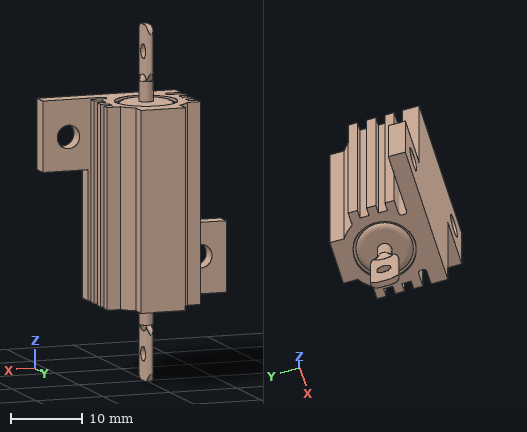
import cadquery as cq
import math

TOTAL_LENGTH = 51.0
BODY_LENGTH = 29.0
BODY_TOP = BODY_LENGTH / 2

PLATE_WIDTH = 27.5
PLATE_FRONT = -7.2
PLATE_THICKNESS = 2.5
PLATE_BACK = PLATE_FRONT + PLATE_THICKNESS
EAR_HEIGHT = 10.25
HOLE_DIAMETER = 3.3
HOLE_X = 9.9
HOLE_Z = 9.15

FIN_HALF_WIDTH = 7.0
CORE_HALF_WIDTH = 5.75
FIN_TOP = 3.25
FIN_THICKNESS = 1.4
FIN_GAP = 1.35
FIN_COUNT = 3
FIN_PITCH = FIN_THICKNESS + FIN_GAP
FIN_BOTTOM = FIN_TOP - (FIN_COUNT - 1) * FIN_PITCH - FIN_THICKNESS
NECK_HALF_WIDTH = 4.5
NECK_FILLET = 0.45
CROWN_RADIUS = 5.95
RIDGE_HALF_WIDTH = 3.3
RIDGE_TOP = 7.1

BORE_RADIUS = 4.45
PLUG_RADIUS = 4.05
PLUG_RIM_WIDTH = 0.85
GROOVE_DEPTH = 0.45

PIN_RADIUS = 1.0
PIN_LENGTH = 2.9
PIN_TOP = BODY_TOP + PIN_LENGTH
TAB_WIDTH = 4.2
TAB_THICKNESS = 0.85
TAB_LENGTH = TOTAL_LENGTH / 2 - PIN_TOP
TAB_CORNER = 1.45
TAB_HOLE_DIAMETER = 2.05
TAB_HOLE_Z = 21.6
FLARE_SECTIONS = [
    (0.0, PIN_RADIUS, PIN_RADIUS),
    (0.45, 1.8, 0.6),
    (0.9, TAB_WIDTH / 2, TAB_THICKNESS / 2),
]


def box_between(x_min, x_max, y_min, y_max, z_min, z_max):
    size = (x_max - x_min, y_max - y_min, z_max - z_min)
    return cq.Workplane("XY").box(*size, centered=False).translate((x_min, y_min, z_min))


def circle_height(radius, half_chord):
    return math.sqrt(radius**2 - half_chord**2)


def make_plate():
    """Base plate: a central band with one ear low on -X and one high on +X."""
    plate = box_between(
        -FIN_HALF_WIDTH, FIN_HALF_WIDTH, PLATE_FRONT, PLATE_BACK, -BODY_TOP, BODY_TOP
    )
    low_ear = box_between(
        -PLATE_WIDTH / 2, 0, PLATE_FRONT, PLATE_BACK, -BODY_TOP, EAR_HEIGHT - BODY_TOP
    )
    high_ear = low_ear.rotate((0, 0, 0), (0, 1, 0), 180)
    holes = (
        cq.Workplane("XZ", origin=(0, PLATE_BACK, 0))
        .pushPoints([(-HOLE_X, -HOLE_Z), (HOLE_X, HOLE_Z)])
        .circle(HOLE_DIAMETER / 2)
        .extrude(PLATE_THICKNESS)
    )
    return plate.union(low_ear).union(high_ear).cut(holes)


def make_core():
    """Extruded body without fins: neck, core, round crown and flat-topped ridge."""
    neck = box_between(
        -NECK_HALF_WIDTH, NECK_HALF_WIDTH, PLATE_BACK, FIN_TOP, -BODY_TOP, BODY_TOP
    )
    core = box_between(
        -CORE_HALF_WIDTH, CORE_HALF_WIDTH, FIN_BOTTOM, FIN_TOP, -BODY_TOP, BODY_TOP
    )
    shoulder_x = circle_height(CROWN_RADIUS, FIN_TOP)
    crown = (
        cq.Workplane("XY", origin=(0, 0, -BODY_TOP))
        .moveTo(-shoulder_x, FIN_TOP)
        .threePointArc((0, CROWN_RADIUS), (shoulder_x, FIN_TOP))
        .close()
        .extrude(BODY_LENGTH)
    )
    ridge = box_between(
        -RIDGE_HALF_WIDTH, RIDGE_HALF_WIDTH, FIN_TOP, RIDGE_TOP, -BODY_TOP, BODY_TOP
    )
    return core.union(neck).union(crown).union(ridge)


def make_fins():
    fins = cq.Workplane("XY")
    for i in range(FIN_COUNT):
        top = FIN_TOP - i * FIN_PITCH
        fins = fins.union(
            box_between(
                -FIN_HALF_WIDTH, FIN_HALF_WIDTH, top - FIN_THICKNESS, top, -BODY_TOP, BODY_TOP
            )
        )
    return fins


def round_neck(body):
    """Fillet the inner corners of the slots between the lowest fins and the plate."""
    margin = 0.05
    neck_corners = cq.selectors.BoxSelector(
        (-NECK_HALF_WIDTH - margin, PLATE_BACK - margin, -BODY_TOP),
        (NECK_HALF_WIDTH + margin, FIN_BOTTOM + margin, BODY_TOP),
    )
    return body.edges("|Z").edges(neck_corners).fillet(NECK_FILLET)


def make_plug_groove():
    """Ring cut at the top end that leaves a round-edged plug inside the bore."""
    inner = PLUG_RADIUS - PLUG_RIM_WIDTH
    bottom = BODY_TOP - GROOVE_DEPTH
    rim_radius = (PLUG_RIM_WIDTH**2 + GROOVE_DEPTH**2) / (2 * GROOVE_DEPTH)
    half_angle = math.asin(PLUG_RIM_WIDTH / rim_radius) / 2
    arc_middle = (
        inner + rim_radius * math.sin(half_angle),
        BODY_TOP - rim_radius * (1 - math.cos(half_angle)),
    )
    return (
        cq.Workplane("XZ")
        .moveTo(inner, BODY_TOP)
        .threePointArc(arc_middle, (PLUG_RADIUS, bottom))
        .lineTo(BORE_RADIUS, bottom)
        .lineTo(BORE_RADIUS, BODY_TOP)
        .close()
        .revolve(360, (0, 0, 0), (0, 1, 0))
    )


def make_flare():
    """Smooth change from the round pin to the flat tab."""
    flare = cq.Workplane(cq.Plane(origin=(0, 0, PIN_TOP), xDir=(0, 1, 0), normal=(0, 0, 1)))
    height = 0.0
    for section_height, half_width, half_thickness in FLARE_SECTIONS:
        flare = flare.workplane(offset=section_height - height)
        flare = flare.ellipse(half_width, half_thickness)
        height = section_height
    return flare.loft(combine=True)


def make_terminal():
    """Top terminal: a round pin flaring into a flat, round-edged tab with a hole."""
    pin = cq.Workplane("XY", origin=(0, 0, BODY_TOP)).circle(PIN_RADIUS).extrude(PIN_LENGTH)
    tab = (
        cq.Workplane("XY", origin=(0, 0, PIN_TOP))
        .slot2D(TAB_WIDTH, TAB_THICKNESS, 90)
        .extrude(TAB_LENGTH)
    )
    outline = (
        cq.Workplane("XY", origin=(0, 0, PIN_TOP + TAB_LENGTH / 2))
        .box(2 * TAB_WIDTH, TAB_WIDTH, TAB_LENGTH)
        .edges("|X")
        .fillet(TAB_CORNER)
    )
    hole = (
        cq.Workplane("YZ", origin=(0, 0, TAB_HOLE_Z))
        .circle(TAB_HOLE_DIAMETER / 2)
        .extrude(TAB_WIDTH, both=True)
    )
    return tab.union(make_flare()).intersect(outline).cut(hole).union(pin)


body = round_neck(make_plate().union(make_core()).union(make_fins()))

groove = make_plug_groove()
body = body.cut(groove).cut(groove.mirror("XY"))

terminal = make_terminal()
result = body.union(terminal).union(terminal.mirror("XY"))